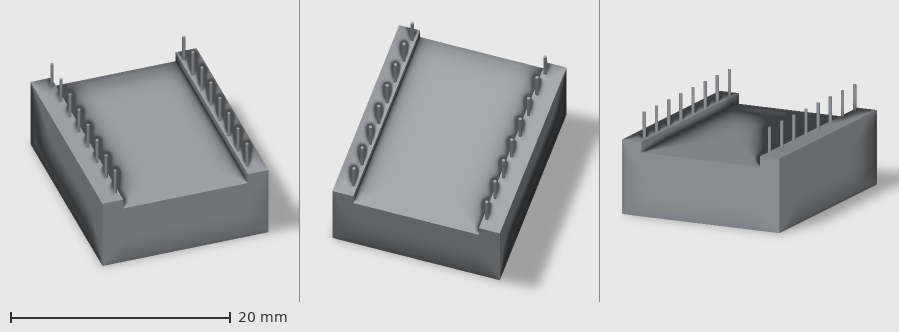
import cadquery as cq

length = 20.0
width = 16.0
body_height = 7.0

rail_width = 2.0
channel_depth = 1.0

pin_diameter = 0.3
pin_length = 2.5
pins_per_row = 8
pin_pitch = 2.5
row_count = 2
row_spacing = 12.7


def make_body():
    """Block with a full-length channel along X, leaving a rail on each side."""
    block = cq.Workplane("XY").box(length, width, body_height, centered=(True, True, False))
    channel = (
        cq.Workplane("XY")
        .workplane(offset=body_height - channel_depth)
        .rect(length, width - 2 * rail_width)
        .extrude(channel_depth)
    )
    return block.cut(channel)


def make_pins():
    """Two rows of round pins standing on top of the rails."""
    return (
        cq.Workplane("XY")
        .workplane(offset=body_height)
        .rarray(pin_pitch, row_spacing, pins_per_row, row_count)
        .circle(pin_diameter / 2)
        .extrude(pin_length)
    )


result = make_body().union(make_pins())